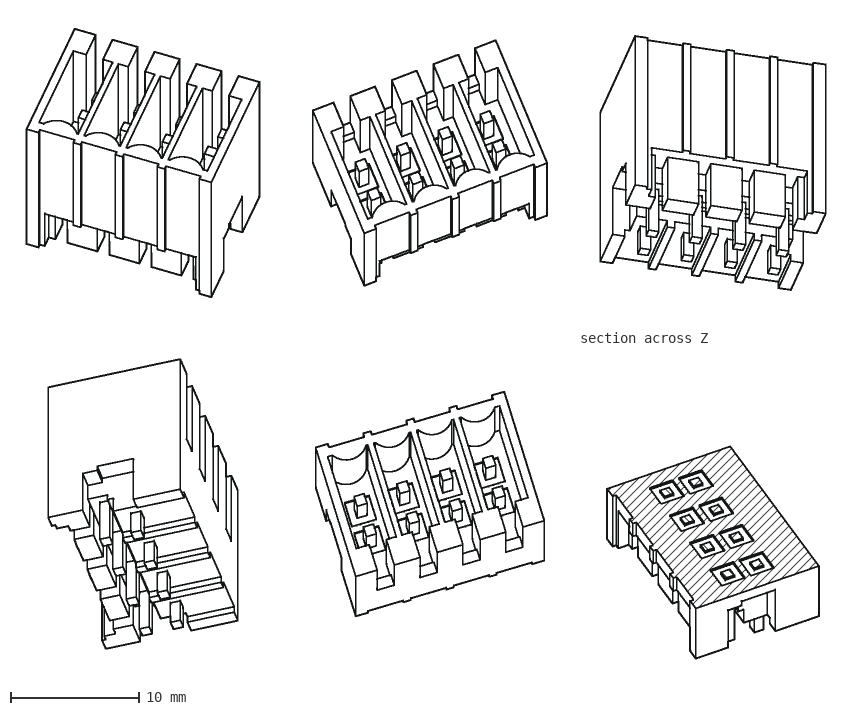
import cadquery as cq

WIDTH = 15.4
DEPTH = 10.8
HEIGHT = 14.2

POLES = 4
PITCH = 3.5
FRONT_ROW_Y = 4.02
ROW_PITCH = 2.55
REAR_ROW_Y = FRONT_ROW_Y + ROW_PITCH
POLE_X = [(i - (POLES - 1) / 2) * PITCH for i in range(POLES)]

PIN_SIZE = 0.82
PIN_TIP_Z = 9.42
PIN_TAIL_Z = -1.5

WALL = 0.69
PARTITION = 0.49
POCKET_FLOOR_Z = 5.5
POCKET_FRONT_Y = 0.99
POCKET_BACK_Y = 8.67
KEY_TIP_Y = 1.73
KEY_RADIUS = 1.65

LATCH_SLOT_WIDTH = 1.4
SILL_DEPTH = 0.86
SILL_Z = 7.06

SEAT_SIZE = 2.0
SEAT_DEPTH = 0.31

RIB_WIDTH = 0.61
GROOVE_WIDTH = PITCH - RIB_WIDTH
GROOVE_DEPTH = 0.3

RECESS_WIDTH = 12.59
RECESS_DEPTH = 1.22
RECESS_TOP_Z = 3.99
TAIL_SLOT_WIDTH = 0.99
TUNNEL_FRONT_Y = 2.83
TUNNEL_BACK_Y = 4.91
TUNNEL_STEP_Y = FRONT_ROW_Y + PIN_SIZE / 2
TUNNEL_FRONT_TOP_Z = 2.5
TUNNEL_BACK_TOP_Z = 2.01
REAR_SLOT_TOP_Z = 0.6

NOTCH_WIDTH = (WIDTH - RECESS_WIDTH) / 2
NOTCH_BACK_Y = REAR_ROW_Y + PIN_SIZE / 2
NOTCH_BACK_TOP_Z = 4.43


def block(x_range, y_range, z_range):
    """Box between the given limits along each axis."""
    (x0, x1), (y0, y1), (z0, z1) = x_range, y_range, z_range
    return cq.Workplane("XY").box(x1 - x0, y1 - y0, z1 - z0, centered=False).translate((x0, y0, z0))


def centred(middle, size):
    """Limits of a length centred on the given place."""
    return (middle - size / 2, middle + size / 2)


def plug_pocket(pole):
    """Pocket of one pole, with a round key on its front wall and a latch slot at its back."""
    x = POLE_X[pole]
    left = x - (PITCH - PARTITION) / 2
    right = x + (PITCH - PARTITION) / 2
    if pole == 0:
        left = -WIDTH / 2 + WALL
    if pole == POLES - 1:
        right = WIDTH / 2 - WALL
    pocket = block((left, right), (POCKET_FRONT_Y, POCKET_BACK_Y), (POCKET_FLOOR_Z, HEIGHT))
    key = cq.Workplane("XY").center(x, KEY_TIP_Y - KEY_RADIUS).circle(KEY_RADIUS).extrude(HEIGHT)
    slot_x = centred(x, LATCH_SLOT_WIDTH)
    sill_y = DEPTH - SILL_DEPTH
    slot = block(slot_x, (POCKET_BACK_Y, sill_y), (POCKET_FLOOR_Z, HEIGHT))
    sill = block(slot_x, (sill_y, DEPTH), (SILL_Z, HEIGHT))
    return pocket.cut(key).union(slot).union(sill)


def seat(x, y):
    """Square recess around one pin in the pocket floor."""
    return block(centred(x, SEAT_SIZE), centred(y, SEAT_SIZE), (POCKET_FLOOR_Z - SEAT_DEPTH, POCKET_FLOOR_Z))


def front_groove(x):
    """Shallow groove in the front wall over the full height."""
    return block(centred(x, GROOVE_WIDTH), (0, GROOVE_DEPTH), (0, HEIGHT))


def front_recess():
    """Recess along the lower edge of the front wall."""
    return block(centred(0, RECESS_WIDTH), (0, RECESS_DEPTH), (0, RECESS_TOP_Z))


def tail_slot(x):
    """Slot from the front recess to the tunnel, in front of one pair of pins."""
    return block(centred(x, TAIL_SLOT_WIDTH), (RECESS_DEPTH, TUNNEL_FRONT_Y), (0, RECESS_TOP_Z))


def tunnel():
    """Stepped tunnel along X around the tails of the front pins."""
    full_x = centred(0, WIDTH)
    front = block(full_x, (TUNNEL_FRONT_Y, TUNNEL_STEP_Y), (0, TUNNEL_FRONT_TOP_Z))
    back = block(full_x, (TUNNEL_STEP_Y, TUNNEL_BACK_Y), (0, TUNNEL_BACK_TOP_Z))
    return front.union(back)


def rear_slot(x):
    """Shallow slot in the underside from the tunnel to the back, around one rear pin."""
    return block(centred(x, GROOVE_WIDTH), (TUNNEL_BACK_Y, DEPTH), (0, REAR_SLOT_TOP_Z))


def end_notch(x_middle):
    """Notch through the lower part of one end wall, with a lower top at the front."""
    x_range = centred(x_middle, NOTCH_WIDTH)
    front = block(x_range, (TUNNEL_FRONT_Y, FRONT_ROW_Y), (0, RECESS_TOP_Z))
    back = block(x_range, (FRONT_ROW_Y, NOTCH_BACK_Y), (0, NOTCH_BACK_TOP_Z))
    return front.union(back)


def make_pin(x, y):
    """Straight square pin, from its tip in the pocket to its tail below the housing."""
    return block(centred(x, PIN_SIZE), centred(y, PIN_SIZE), (PIN_TAIL_Z, PIN_TIP_Z))


def make_housing(pins):
    body = block(centred(0, WIDTH), (0, DEPTH), (0, HEIGHT))
    for pole, x in enumerate(POLE_X):
        body = body.cut(plug_pocket(pole))
        body = body.cut(seat(x, FRONT_ROW_Y)).cut(seat(x, REAR_ROW_Y))
        body = body.cut(front_groove(x)).cut(tail_slot(x)).cut(rear_slot(x))
    body = body.cut(front_recess()).cut(tunnel())
    for side in (-1, 1):
        body = body.cut(end_notch(side * (WIDTH - NOTCH_WIDTH) / 2))
    for pin in pins:
        body = body.cut(pin)
    return body


pins = [make_pin(x, y) for x in POLE_X for y in (FRONT_ROW_Y, REAR_ROW_Y)]
housing = make_housing(pins)
result = cq.Compound.makeCompound([housing.val(), *[pin.val() for pin in pins]])